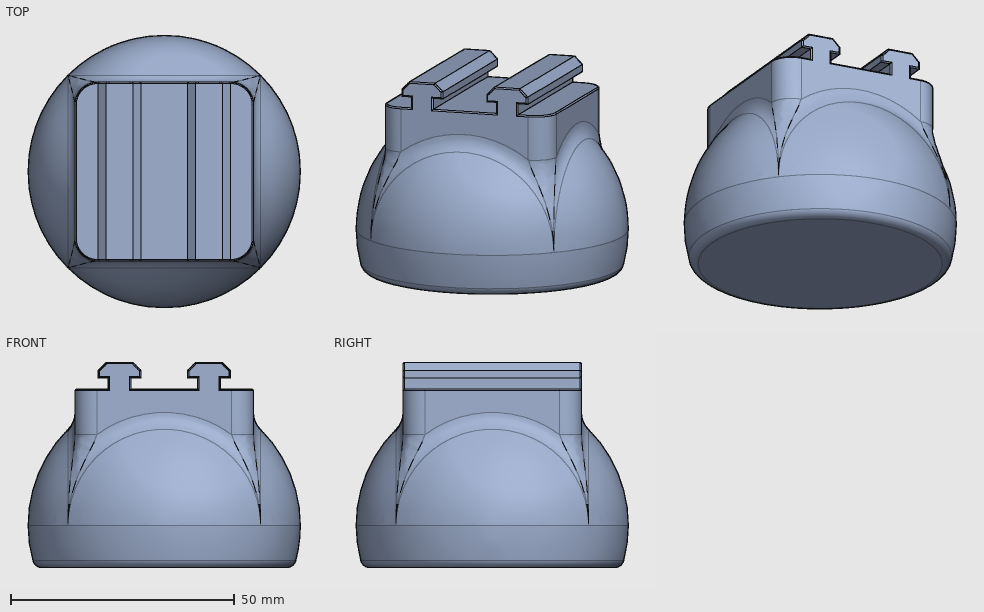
import cadquery as cq
import math


ball_radius = 30.5
ball_height = 9.45
bottom_fillet = 2.2

block_half = 20.0
block_top = 40.0
corner_radius = 5.0
blend_radius = 5.3

rail_spacing = block_half
rail_top = 46.0
rail_head_bottom = 42.5
rail_head_width = 9.65
rail_bevel = 1.8
rail_stem_width = 5.1

edge_chamfer = 0.3

ring_offset = block_half + blend_radius
ring_radius = math.sqrt((ball_radius + blend_radius) ** 2 - ring_offset ** 2)
contact_angle = math.atan2(ring_radius, ring_offset)

corner_sections = 9
corner_run = 0.92
cutter_depth = 7.3

overreach = 48.8
quarter_turns = (0, 90, 180, 270)


def arc_point(center, radius, angle):
    """Point at an angle on a circle, in a plane."""
    return (center[0] + radius * math.cos(angle), center[1] + radius * math.sin(angle))


def make_ball_base():
    """Lower part of the ball, up to its centre, with a flat, rounded bottom."""
    fillet_drop = ball_height - bottom_fillet
    fillet_x = math.sqrt((ball_radius - bottom_fillet) ** 2 - fillet_drop ** 2)
    fillet_end = -math.atan2(fillet_drop, fillet_x)
    fillet_middle = (fillet_end - math.pi / 2) / 2

    def on_fillet(angle):
        return arc_point((fillet_x, bottom_fillet), bottom_fillet, angle)

    return (
        cq.Workplane("XZ")
        .lineTo(fillet_x, 0)
        .threePointArc(on_fillet(fillet_middle), on_fillet(fillet_end))
        .threePointArc(
            arc_point((0, ball_height), ball_radius, fillet_end / 2),
            (ball_radius, ball_height),
        )
        .lineTo(0, ball_height)
        .close()
        .revolve(360, (0, 0, 0), (0, 1, 0))
    )


def make_flared_side():
    """Block side at +X with its blend and the ball, endless along Y and Z, ball centre at the origin."""
    blend_middle = arc_point((ring_offset, ring_radius), -blend_radius, contact_angle / 2)
    return (
        cq.Workplane("XY")
        .lineTo(0, overreach)
        .lineTo(block_half, overreach)
        .lineTo(block_half, ring_radius)
        .threePointArc(blend_middle, arc_point((0, 0), ball_radius, contact_angle))
        .threePointArc(arc_point((0, 0), ball_radius, contact_angle / 2), (ball_radius, 0))
        .close()
        .revolve(360, (0, 0, 0), (1, 0, 0))
    )


def corner_section(angle):
    """Outline of the waste outside a rounded corner, at an angle around the blend's tube.

    A ball of the corner radius rolls down inside the corner, touching both
    blends. The outline lies square to its path.
    """
    path_radius = blend_radius + corner_radius
    center_x = ring_offset - path_radius * math.cos(angle)
    center_reach = ring_radius - path_radius * math.sin(angle)
    center_z = math.sqrt(center_reach ** 2 - center_x ** 2)
    center = cq.Vector(center_x, center_x, center_z)

    touch_reach = (ring_radius - blend_radius * math.sin(angle)) / center_reach
    touch_x = ring_offset - blend_radius * math.cos(angle)
    touch_a = cq.Vector(touch_x, center_x * touch_reach, center_z * touch_reach)
    touch_b = cq.Vector(touch_a.y, touch_a.x, touch_a.z)

    outward_a = (touch_a - center).normalized()
    outward_b = (touch_b - center).normalized()
    outward = (outward_a + outward_b).normalized()
    outer_radius = corner_radius + cutter_depth
    outer_a = center + outward_a * outer_radius
    outer_b = center + outward_b * outer_radius

    return cq.Wire.assembleEdges([
        cq.Edge.makeThreePointArc(touch_a, center + outward * corner_radius, touch_b),
        cq.Edge.makeLine(touch_b, outer_b),
        cq.Edge.makeThreePointArc(outer_b, center + outward * outer_radius, outer_a),
        cq.Edge.makeLine(outer_a, touch_a),
    ])


def make_corner_cutters():
    """Upright part and narrowing lower part of the waste at one corner."""
    sections = []
    for index in range(corner_sections):
        run = corner_run * index / (corner_sections - 1)
        sections.append(corner_section(contact_angle * (1 - (1 - run) ** 2)))
    upright = cq.Solid.extrudeLinear(sections[0], [], cq.Vector(0, 0, overreach))
    narrowing = cq.Solid.makeLoft(sections)
    return [cq.Workplane(obj=upright), cq.Workplane(obj=narrowing)]


def make_sharp_body():
    """Upper ball and block up to the rails' top, with sharp corners: four equal flared sides."""
    wedge = (
        cq.Workplane("XY")
        .polyline([(0, 0), (overreach, overreach), (overreach, -overreach)])
        .close()
        .extrude(overreach)
    )
    side = make_flared_side().intersect(wedge, clean=False)
    body = side
    for turn in quarter_turns[1:]:
        body = body.union(side.rotate((0, 0, 0), (0, 0, 1), turn), clean=False)
    return body


def round_corners(body):
    """Round the block's four corners down to the points where the blends meet the ball."""
    for cutter in make_corner_cutters():
        for turn in quarter_turns:
            body = body.cut(cutter.rotate((0, 0, 0), (0, 0, 1), turn), clean=False)
    return body


def make_rail_surroundings():
    """Everything above the block's top apart from the two T-shaped rails."""
    half_head = rail_head_width / 2
    half_stem = rail_stem_width / 2
    rail = (
        cq.Workplane("XZ")
        .moveTo(0, block_top)
        .lineTo(half_stem, block_top)
        .lineTo(half_stem, rail_head_bottom)
        .lineTo(half_head, rail_head_bottom)
        .lineTo(half_head, rail_top - rail_bevel)
        .lineTo(half_head - rail_bevel, rail_top)
        .lineTo(0, rail_top)
        .mirrorY()
        .extrude(overreach, both=True)
    )
    surroundings = (
        cq.Workplane("XY", origin=(0, 0, block_top))
        .rect(2 * overreach, 2 * overreach)
        .extrude(overreach)
    )
    for side in (-1, 1):
        surroundings = surroundings.cut(rail.translate((side * rail_spacing / 2, 0, 0)))
    return surroundings


def chamfer_outer_edges(body):
    """Chamfer the rails' end outlines and the block's top outline."""
    low = block_top - edge_chamfer
    high = rail_top + edge_chamfer
    inner = block_half - edge_chamfer / 2
    outer = block_half + edge_chamfer / 2
    middle = cq.selectors.BoxSelector((-inner, -inner, low), (inner, inner, high))
    whole = cq.selectors.BoxSelector((-outer, -outer, low), (outer, outer, high))
    return body.edges(whole - middle).chamfer(edge_chamfer)


body = round_corners(make_sharp_body()).translate((0, 0, ball_height))
body = body.cut(make_rail_surroundings(), clean=False)
body = chamfer_outer_edges(body)
result = body.union(make_ball_base(), clean=False)